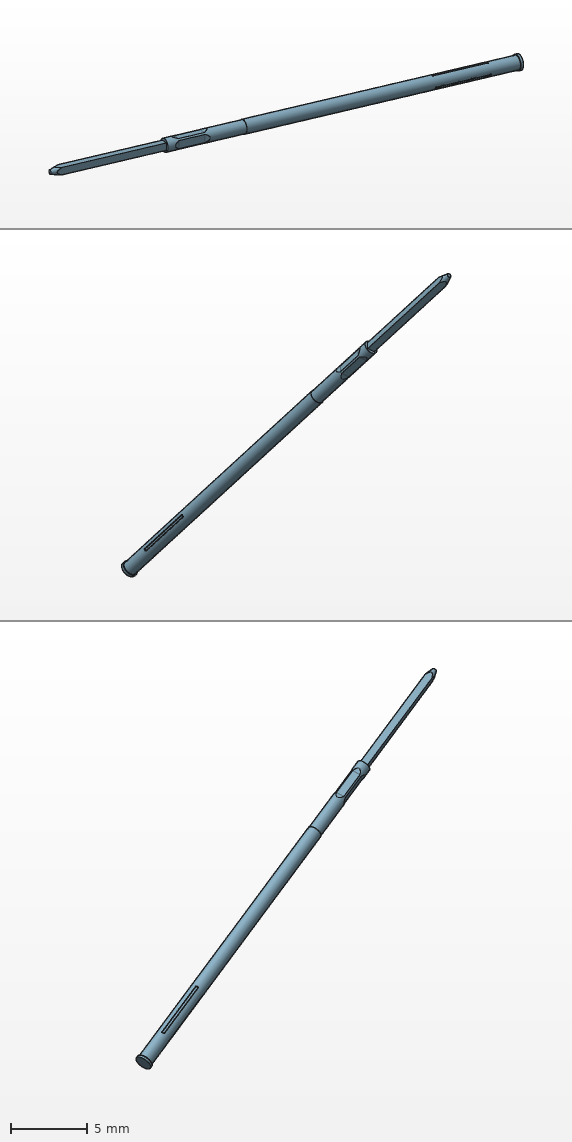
import cadquery as cq
import math

TOTAL_LENGTH = 35.7

HEAD_DIAMETER = 1.15
HEAD_THICKNESS = 0.2
SLEEVE_DIAMETER = 1.02
SLEEVE_END = 21.0

GROOVE_COUNT = 3
GROOVE_WIDTH = 0.18
GROOVE_DEPTH = 0.1
GROOVE_START = 2.4
GROOVE_END = 6.6

PLUNGER_DIAMETER = 0.97
PLUNGER_END = 27.0
FLAT_COUNT = 4
FLAT_ACROSS = 0.78
FLAT_START = 24.12
FLAT_END = 26.1
FLAT_RAMP = 0.33

SHAFT_SIDE = 0.54
TIP_HALF_ANGLE = 17.0
TIP_FLAT_RADIUS = 0.15


def rod(diameter, start, end):
    """Cylinder along the pin axis between two stations."""
    return cq.Workplane("XZ", origin=(0, -start, 0)).circle(diameter / 2).extrude(end - start)


def around_axis(shape, count):
    """Union of copies of a shape spaced evenly around the pin axis."""
    ring = shape
    for index in range(1, count):
        ring = ring.union(shape.rotate((0, 0, 0), (0, 1, 0), index * 360 / count))
    return ring


def sleeve_grooves():
    length = GROOVE_END - GROOVE_START
    middle = (GROOVE_START + GROOVE_END) / 2
    height = 2 * GROOVE_DEPTH
    groove = cq.Workplane("XY").box(GROOVE_WIDTH, length, height)
    groove = groove.translate((0, -middle, SLEEVE_DIAMETER / 2))
    return around_axis(groove, GROOVE_COUNT)


def plunger_flats():
    """Cutters for the flats; each flat runs out to the cylinder on a ramp at both ends."""
    floor = FLAT_ACROSS / 2
    crest = PLUNGER_DIAMETER / 2
    profile = (
        cq.Workplane("YZ")
        .moveTo(-FLAT_START, floor)
        .lineTo(-FLAT_START + FLAT_RAMP, crest)
        .lineTo(-FLAT_END - FLAT_RAMP, crest)
        .lineTo(-FLAT_END, floor)
        .close()
    )
    return around_axis(profile.extrude(PLUNGER_DIAMETER / 2, both=True), FLAT_COUNT)


def pointed_shaft():
    """Square shaft trimmed by a blunt cone."""
    length = TOTAL_LENGTH - PLUNGER_END
    shaft = cq.Workplane("XZ", origin=(0, -PLUNGER_END, 0)).rect(SHAFT_SIDE, SHAFT_SIDE).extrude(length)
    envelope_radius = SHAFT_SIDE
    cone_length = (envelope_radius - TIP_FLAT_RADIUS) / math.tan(math.radians(TIP_HALF_ANGLE))
    envelope = (
        cq.Workplane("XY")
        .moveTo(0, -PLUNGER_END)
        .lineTo(envelope_radius, -PLUNGER_END)
        .lineTo(envelope_radius, -TOTAL_LENGTH + cone_length)
        .lineTo(TIP_FLAT_RADIUS, -TOTAL_LENGTH)
        .lineTo(0, -TOTAL_LENGTH)
        .close()
        .revolve(360, (0, 0, 0), (0, 1, 0))
    )
    return shaft.intersect(envelope)


head = rod(HEAD_DIAMETER, 0, HEAD_THICKNESS)
sleeve = rod(SLEEVE_DIAMETER, HEAD_THICKNESS, SLEEVE_END).cut(sleeve_grooves())
plunger = rod(PLUNGER_DIAMETER, SLEEVE_END, PLUNGER_END).cut(plunger_flats())

result = head.union(sleeve).union(plunger).union(pointed_shaft())